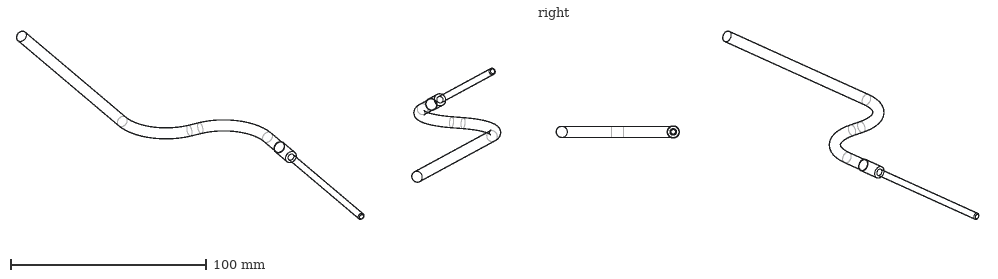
import cadquery as cq

total_length = 261.8

tube_diameter = 5.8
long_leg = 109.2
bend_radius = 25.5
middle_leg = 6.3
short_leg = 12.8

sleeve_diameter = 6.3
sleeve_length = 12.5

rod_diameter = 3.5
rod_tip_chamfer = 0.5

middle_x = long_leg + bend_radius
upper_y = 2 * bend_radius + middle_leg
sleeve_x = middle_x + bend_radius + short_leg
rod_x = sleeve_x + sleeve_length
rod_length = total_length - rod_x


def bar_along_x(start_x, length, diameter):
    """Round bar on the upper axis, running in +X."""
    start_plane = cq.Plane(origin=(start_x, upper_y, 0), xDir=(0, 1, 0), normal=(1, 0, 0))
    return cq.Workplane(start_plane).circle(diameter / 2).extrude(length)


def bent_tube():
    """Solid tube with two opposite quarter bends forming an S."""
    path = (
        cq.Workplane("XY")
        .lineTo(long_leg, 0)
        .radiusArc((middle_x, bend_radius), -bend_radius)
        .lineTo(middle_x, bend_radius + middle_leg)
        .radiusArc((middle_x + bend_radius, upper_y), bend_radius)
        .lineTo(sleeve_x, upper_y)
    )
    return cq.Workplane("YZ").circle(tube_diameter / 2).sweep(path)


sleeve = bar_along_x(sleeve_x, sleeve_length, sleeve_diameter)
rod = bar_along_x(rod_x, rod_length, rod_diameter).faces(">X").chamfer(rod_tip_chamfer)

result = bent_tube().union(sleeve).union(rod)